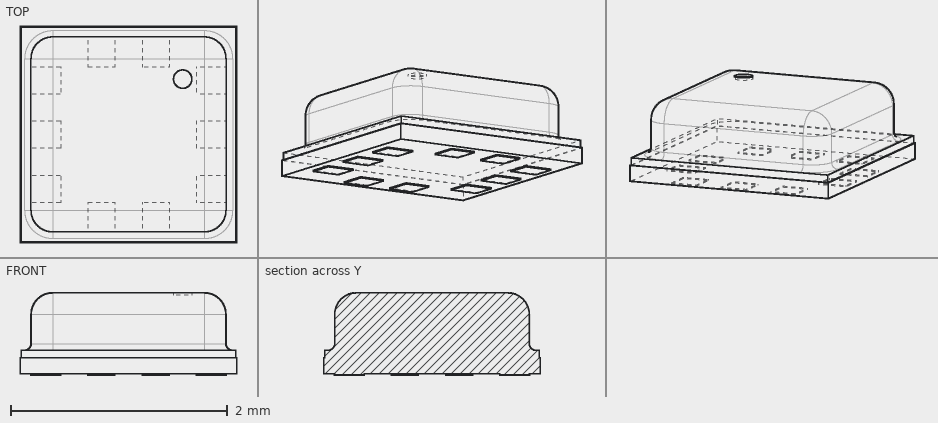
import cadquery as cq

package_side = 2.0
package_height = 0.76

pad_thickness = 0.01
pad_width = 0.25
pad_length = 0.275
pad_pitch = 0.5
pad_edge_gap = 0.1
pads_per_x_side = 3
pads_per_y_side = 2

substrate_thickness = 0.15
flange_inset = 0.01
flange_thickness = 0.07
cap_inset = 0.1
cap_radius = 0.2
root_radius = 0.06

vent_radius = 0.085
vent_x = 0.5
vent_y = 0.51
vent_depth = 0.02

substrate_top = pad_thickness + substrate_thickness
flange_top = substrate_top + flange_thickness
flange_side = package_side - 2 * flange_inset
cap_side = package_side - 2 * cap_inset
cap_height = package_height - flange_top
pad_center_offset = package_side / 2 - pad_edge_gap - pad_length / 2


def square_plate(side, bottom, height):
    """Square block centred on the Z axis, standing on the level `bottom`."""
    return cq.Workplane("XY").workplane(offset=bottom).rect(side, side).extrude(height)


def make_lid():
    """Flange and rounded cap, blended by a hollow fillet at the root."""
    cap = square_plate(cap_side, flange_top, cap_height)
    cap = cap.edges("|Z").fillet(cap_radius)
    cap = cap.faces(">Z").edges().fillet(cap_radius)
    lid = square_plate(flange_side, substrate_top, flange_thickness).union(cap)
    flange_face = lid.faces("+Z").faces("<Z")
    root_loop = flange_face.val().innerWires()[0]
    return lid.newObject(root_loop.Edges()).fillet(root_radius)


def pad_row(count):
    """Centres of `count` evenly spaced pads along an edge."""
    return [(i - (count - 1) / 2) * pad_pitch for i in range(count)]


def make_pads():
    """Thin pads along all four edges, each pointing inwards from its edge."""
    x_side_points = [(s * pad_center_offset, y) for s in (-1, 1) for y in pad_row(pads_per_x_side)]
    y_side_points = [(x, s * pad_center_offset) for s in (-1, 1) for x in pad_row(pads_per_y_side)]
    x_side_pads = cq.Workplane("XY").pushPoints(x_side_points).rect(pad_length, pad_width)
    y_side_pads = cq.Workplane("XY").pushPoints(y_side_points).rect(pad_width, pad_length)
    return x_side_pads.extrude(pad_thickness).union(y_side_pads.extrude(pad_thickness))


def make_vent():
    """Cylinder that cuts the round recess into the lid top."""
    floor = cq.Workplane("XY").workplane(offset=package_height - vent_depth)
    return floor.center(vent_x, vent_y).circle(vent_radius).extrude(vent_depth)


substrate = square_plate(package_side, pad_thickness, substrate_thickness)
result = make_lid().union(substrate).union(make_pads()).cut(make_vent())